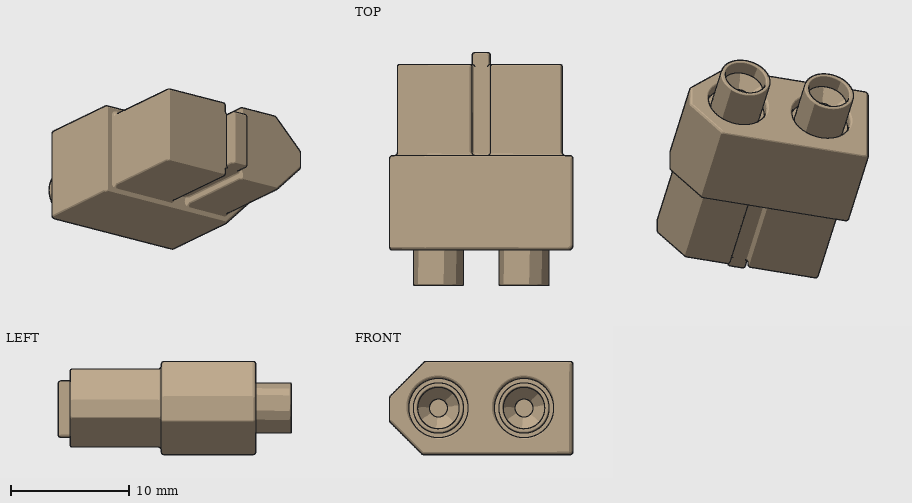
import cadquery as cq


housing_width = 15.5
housing_height = 7.9
housing_length = 8.0
housing_upper_chamfer = 3.0
housing_lower_chamfer = 2.8

plug_left = -7.09
plug_right = 6.85
plug_height = 6.62
plug_length = 7.7
plug_upper_chamfer = 2.64
plug_lower_chamfer = 2.46

key_width = 1.54
key_top = 2.3
key_bottom = -2.5

contact_spacing = 7.23
contact_diameter = 4.25
contact_protrusion = 3.0
cup_diameter = 3.5
cup_depth = 1.25
cup_floor_diameter = 1.52
recess_diameter = 5.0
recess_depth = 0.98

edge_fillet = 0.25
side_edge_fillet = 0.4
plug_end_fillet = 0.22
contact_rim_fillet = 0.12

overall_length = 19.69
housing_right = housing_width / 2
plug_end = housing_length + plug_length
key_end = overall_length - contact_protrusion
contact_positions = (-contact_spacing / 2, contact_spacing / 2)
cup_cone_depth = (cup_diameter - cup_floor_diameter) / 2

selection_margin = 0.02


def edges_in_box(corner, opposite_corner):
    """Selector for the edges that lie wholly inside a box."""
    return cq.selectors.BoxSelector(corner, opposite_corner, boundingbox=True)


def edges_in_plane_y(y, left, right, bottom, top):
    """Selector for the edges that lie at one Y and inside a rectangle."""
    return edges_in_box((left, y - selection_margin, bottom), (right, y + selection_margin, top))


def box_between(corner, opposite_corner):
    """Box given by two opposite corners."""
    size = [high - low for low, high in zip(corner, opposite_corner)]
    return cq.Workplane("XY").box(*size, centered=False).translate(corner)


def cylinder_along_y(diameter, x, start, length):
    return cq.Workplane("XZ", origin=(x, start, 0)).circle(diameter / 2).extrude(-length)


def chamfered_block(left, right, height, upper_chamfer, lower_chamfer, start, length):
    """Prism along +Y; its outline has two 45 degree chamfers on its -X side."""
    top = height / 2
    outline = [
        (left, top - upper_chamfer),
        (left + upper_chamfer, top),
        (right, top),
        (right, -top),
        (left + lower_chamfer, -top),
        (left, lower_chamfer - top),
    ]
    return cq.Workplane("XZ", origin=(0, start, 0)).polyline(outline).close().extrude(-length)


def make_housing():
    block = chamfered_block(
        -housing_right, housing_right, housing_height,
        housing_upper_chamfer, housing_lower_chamfer, 0, housing_length,
    )
    block = block.edges("|Z and >X and <Y").fillet(side_edge_fillet)
    side_fillet_seams = edges_in_box(
        (housing_right - side_edge_fillet - selection_margin, -selection_margin, -housing_height),
        (housing_right + selection_margin, side_edge_fillet + selection_margin, housing_height),
    )
    seams = block.edges(side_fillet_seams).edges("|Z").vals()
    sharp_edges = block.edges().filter(lambda edge: not any(edge.isSame(seam) for seam in seams))
    return sharp_edges.fillet(edge_fillet)


def make_plug():
    block = chamfered_block(
        plug_left, plug_right, plug_height,
        plug_upper_chamfer, plug_lower_chamfer, housing_length, plug_length,
    )
    half_key = key_width / 2
    for bottom, top in ((key_top, plug_height), (-plug_height, key_bottom)):
        block = block.cut(box_between((-half_key, housing_length, bottom), (half_key, plug_end, top)))
    block = block.edges("|Y").fillet(edge_fillet)
    return block.faces(">Y").edges().fillet(plug_end_fillet)


def make_key():
    half_key = key_width / 2
    bar = box_between((-half_key, housing_length, key_bottom), (half_key, key_end, key_top))
    return bar.edges("|Y or >Y").fillet(edge_fillet)


def make_contact(x):
    """Round post with a cup that ends in a cone, open toward -Y."""
    tip = -contact_protrusion
    post = cylinder_along_y(contact_diameter, x, tip, recess_depth - tip)
    post = post.cut(cylinder_along_y(cup_diameter, x, tip, cup_depth))
    post = post.faces("<Y").edges().fillet(contact_rim_fillet)
    cone = cq.Solid.makeCone(
        cup_diameter / 2, cup_floor_diameter / 2, cup_cone_depth,
        cq.Vector(x, tip + cup_depth, 0), cq.Vector(0, 1, 0),
    )
    return post.cut(cq.Workplane(obj=cone))


def cut_recess(body, x):
    """Round recess in the contact face, with a rounded mouth."""
    body = body.cut(cylinder_along_y(recess_diameter, x, 0, recess_depth))
    reach = recess_diameter / 2 + selection_margin
    mouth = edges_in_plane_y(0, x - reach, x + reach, -reach, reach)
    return body.edges(mouth).fillet(edge_fillet)


result = make_housing().union(make_plug())

plug_base = edges_in_plane_y(
    housing_length,
    plug_left - selection_margin, plug_right + selection_margin,
    -plug_height / 2 - selection_margin, plug_height / 2 + selection_margin,
)
result = result.edges(plug_base).fillet(edge_fillet)
result = result.union(make_key())

for contact_x in contact_positions:
    result = cut_recess(result, contact_x)
    result = result.union(make_contact(contact_x))